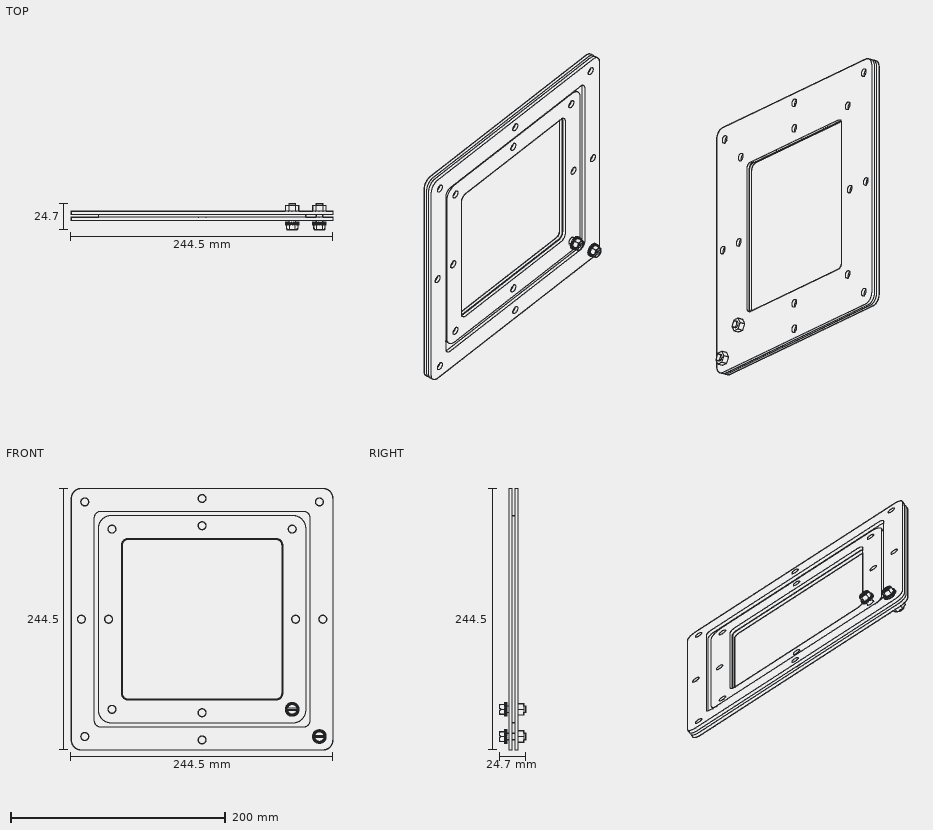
import cadquery as cq
import math

PLATE_WIDTH = 244.47
PLATE_CORNER = 9.525
PLATE_THICKNESS = 3.175
PLATE_GAP = 2.381
RING_WIDTH = 193.675
RING_CORNER = 12.0
RING_THICKNESS = PLATE_THICKNESS
FRAME_OPENING = 201.6
FRAME_OPENING_CORNER = 6.35
BACK_OPENING = 148.8
BACK_OPENING_CORNER = 5.0
RING_OPENING = 150.8
RING_OPENING_CORNER = 6.35

HOLE_DIAMETER = 7.14
CORNER_HOLE_INSET = 12.7
SIDE_HOLE_INSET = 9.525
OUTER_CORNER_HOLE = PLATE_WIDTH / 2 - CORNER_HOLE_INSET
OUTER_SIDE_HOLE = PLATE_WIDTH / 2 - SIDE_HOLE_INSET
INNER_CORNER_HOLE = RING_WIDTH / 2 - CORNER_HOLE_INSET
INNER_SIDE_HOLE = RING_WIDTH / 2 - SIDE_HOLE_INSET

BOLT_DIAMETER = 6.35
BOLT_LENGTH = 19.05
BOLT_OVERALL = 24.65
HEAD_HEIGHT = BOLT_OVERALL - BOLT_LENGTH
HEAD_ACROSS_FLATS = 9.4
HEAD_CHAMFER = 0.6
HEAD_END_RADIUS = 4.5
SLOT_WIDTH = 2.2
SLOT_DEPTH = 1.5

NUT_ACROSS_FLATS = 10.9
NUT_HEIGHT = 5.444
NUT_STICKOUT = 1.7

WASHER_BORE = 6.55
WASHER_DIAMETER = 12.7
WASHER_RIM_DIAMETER = 11.4
WASHER_THICKNESS = 0.65
TOOTH_COUNT = 18
TOOTH_WIDTH = 2.8
TOOTH_TWIST = 60.0
TOOTH_ROOT_OVERLAP = WASHER_THICKNESS / 4

BACK_PLATE_FRONT = -PLATE_THICKNESS
FRAME_BACK = BACK_PLATE_FRONT - PLATE_GAP
BOLT_TIP = NUT_HEIGHT + NUT_STICKOUT
HEAD_BASE = BOLT_TIP - BOLT_LENGTH


def square_prism(width, corner, back, thickness):
    """Rounded square running from Y = back toward -Y."""
    return (
        cq.Workplane("XZ", origin=(0, back, 0))
        .rect(width, width)
        .extrude(thickness)
        .edges("|Y")
        .fillet(corner)
    )


def square_ring(width, corner, opening, opening_corner, back, thickness):
    plate = square_prism(width, corner, back, thickness)
    return plate.cut(square_prism(opening, opening_corner, back, thickness))


def hole_points(corner, side):
    """Four corner holes and four holes at the middles of the sides."""
    corners = [(x, z) for x in (-corner, corner) for z in (-corner, corner)]
    sides = [(-side, 0), (side, 0), (0, -side), (0, side)]
    return corners + sides


def drill(plate, points):
    drills = cq.Workplane("XZ").pushPoints(points).circle(HOLE_DIAMETER / 2)
    return plate.cut(drills.extrude(PLATE_WIDTH / 2, both=True))


def across_corners(across_flats):
    return across_flats / math.cos(math.pi / 6)


def hexagon(across_flats, back, height):
    """Hexagonal prism with corners toward +-X and flats toward +-Z."""
    return cq.Workplane("XZ", origin=(0, back, 0)).polygon(6, across_corners(across_flats)).extrude(height)


def make_bolt():
    head = hexagon(HEAD_ACROSS_FLATS, HEAD_BASE, HEAD_HEIGHT)
    corner_radius = across_corners(HEAD_ACROSS_FLATS) / 2
    rounding = (
        cq.Workplane("XZ", origin=(0, HEAD_BASE, 0))
        .circle(corner_radius)
        .extrude(HEAD_HEIGHT)
        .faces("<Y")
        .chamfer(HEAD_CHAMFER, corner_radius - HEAD_END_RADIUS)
    )
    front = HEAD_BASE - HEAD_HEIGHT
    slot = (
        cq.Workplane("YZ", origin=(-2 * corner_radius, 0, 0))
        .polyline([(front, -SLOT_WIDTH / 2), (front + SLOT_DEPTH, 0), (front, SLOT_WIDTH / 2)])
        .close()
        .extrude(4 * corner_radius)
    )
    shank = cq.Workplane("XZ", origin=(0, BOLT_TIP, 0)).circle(BOLT_DIAMETER / 2).extrude(BOLT_LENGTH)
    return head.intersect(rounding).cut(slot).union(shank)


def make_nut():
    nut = hexagon(NUT_ACROSS_FLATS, NUT_HEIGHT, NUT_HEIGHT)
    bore = cq.Workplane("XZ", origin=(0, NUT_HEIGHT, 0)).circle(BOLT_DIAMETER / 2).extrude(NUT_HEIGHT)
    return nut.cut(bore)


def make_washer():
    """Flat rim under the bolt head with twisted teeth around it, clear of the head."""
    rim_back = HEAD_BASE + WASHER_THICKNESS
    washer = (
        cq.Workplane("XZ", origin=(0, rim_back, 0))
        .circle(WASHER_RIM_DIAMETER / 2)
        .circle(WASHER_BORE / 2)
        .extrude(WASHER_THICKNESS)
    )
    root = WASHER_RIM_DIAMETER / 2 - TOOTH_ROOT_OVERLAP
    tooth = (
        cq.Workplane("YZ", origin=(root, 0, 0))
        .rect(WASHER_THICKNESS, TOOTH_WIDTH)
        .extrude(WASHER_DIAMETER / 2 - root)
        .rotate((0, 0, 0), (1, 0, 0), TOOTH_TWIST)
        .translate((0, HEAD_BASE + WASHER_THICKNESS / 2, 0))
    )
    for index in range(TOOTH_COUNT):
        washer = washer.union(tooth.rotate((0, 0, 0), (0, 1, 0), index * 360 / TOOTH_COUNT))
    return washer


outer_holes = hole_points(OUTER_CORNER_HOLE, OUTER_SIDE_HOLE)
inner_holes = hole_points(INNER_CORNER_HOLE, INNER_SIDE_HOLE)

back_plate = square_ring(
    PLATE_WIDTH, PLATE_CORNER, BACK_OPENING, BACK_OPENING_CORNER, 0, PLATE_THICKNESS
)
back_plate = drill(back_plate, outer_holes + inner_holes)

front_frame = square_ring(
    PLATE_WIDTH, PLATE_CORNER, FRAME_OPENING, FRAME_OPENING_CORNER, FRAME_BACK, PLATE_THICKNESS
)
front_frame = drill(front_frame, outer_holes)

inner_ring = square_ring(
    RING_WIDTH, RING_CORNER, RING_OPENING, RING_OPENING_CORNER, BACK_PLATE_FRONT, RING_THICKNESS
)
inner_ring = drill(inner_ring, inner_holes)

fastener_parts = (make_bolt(), make_nut(), make_washer())
fasteners = []
for place in (OUTER_CORNER_HOLE, INNER_CORNER_HOLE):
    for part in fastener_parts:
        fasteners.append(part.translate((place, 0, -place)).val())

result = cq.Compound.makeCompound([back_plate.val(), front_frame.val(), inner_ring.val(), *fasteners])